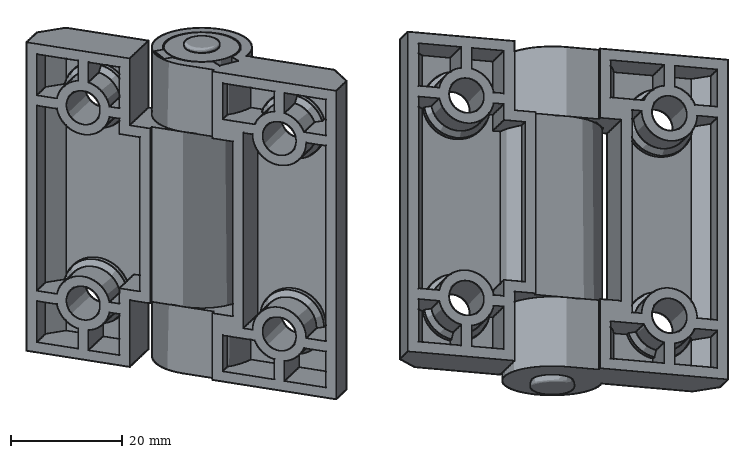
import cadquery as cq
import math


half_span = 30.0
leaf_height = 60.0
leaf_thickness = 9.0
edge_chamfer = 4.0
wall = 2.0
leaf_inner_edge = 10.0
floor_depth = leaf_thickness - wall
half_height = leaf_height / 2

knuckle_radius = 9.0
mount_clearance = 0.8
relief_half_width = 6.0
middle_length = 34.0
axis_y = mount_clearance + knuckle_radius
half_middle = middle_length / 2

boss_spacing_half = 19.0
hole_radius = 3.25
boss_radius = 5.2
boss_flare = 1.0
boss_root = 1.0
rib_thickness = 2.0

plug_bore_radius = 7.0
plug_gap = 0.2
plug_radius = plug_bore_radius - plug_gap
slot_width = 4.0
key_angle = -132.0
key_reach = 8.5
open_slot_angle = -35.0
open_slot_reach = 9.0

pin_tip_height = 1.0
pin_tip_round = pin_tip_height / 2
pin_radius = 2.75
head_height = 1.5
head_radius = 4.0
head_seat_radius = 3.75
head_round = 0.55


def box(x0, x1, y0, y1, z0, z1):
    return cq.Workplane("XY").box(x1 - x0, y1 - y0, z1 - z0, centered=False).translate((x0, y0, z0))


def axis_cylinder(radius, z0, z1):
    """Cylinder on the hinge axis."""
    return cq.Workplane("XY", origin=(0, axis_y, z0)).circle(radius).extrude(z1 - z0)


def leaf_plate(inner_x, z0, z1):
    """Plate from inner_x out to the chamfered outer edge."""
    outline = [
        (inner_x, 0),
        (half_span, 0),
        (half_span, leaf_thickness - edge_chamfer),
        (half_span - edge_chamfer, leaf_thickness),
        (inner_x, leaf_thickness),
    ]
    return cq.Workplane("XY", origin=(0, 0, z0)).polyline(outline).close().extrude(z1 - z0)


def knuckle(z0, z1):
    """Barrel joined to the leaf by an arm that is relieved near the mounting face."""
    arm = box(0, leaf_inner_edge, mount_clearance, leaf_thickness, z0, z1)
    foot = box(relief_half_width, leaf_inner_edge, 0, leaf_thickness, z0, z1)
    return axis_cylinder(knuckle_radius, z0, z1).union(arm).union(foot)


def pocket(inner_x, z0, z1):
    """Pocket space open at y = 0, keeping a wall behind the chamfer and around the barrel."""
    outer_x = half_span - wall
    slope_x = half_span - edge_chamfer + wall - wall * math.sqrt(2)
    slope_y = floor_depth - (outer_x - slope_x)
    outline = [
        (inner_x, 0),
        (outer_x, 0),
        (outer_x, slope_y),
        (slope_x, floor_depth),
        (inner_x, floor_depth),
    ]
    space = cq.Workplane("XY", origin=(0, 0, z0)).polyline(outline).close().extrude(z1 - z0)
    return space.cut(axis_cylinder(knuckle_radius + wall, z0, z1))


def boss(z):
    """Screw boss that flares out to a wide root."""
    outline = [
        (0, 0),
        (boss_radius, 0),
        (boss_radius, floor_depth - boss_root - boss_flare),
        (boss_radius + boss_flare, floor_depth - boss_root),
        (boss_radius + boss_flare, floor_depth),
        (0, floor_depth),
    ]
    solid = cq.Workplane("XY").polyline(outline).close().revolve(360, (0, 0, 0), (0, 1, 0))
    return solid.translate((boss_spacing_half, 0, z))


def screw_hole(z):
    start = cq.Workplane("XZ", origin=(boss_spacing_half, 0, z))
    return start.circle(hole_radius).extrude(-leaf_thickness)


def upright_rib(z_sign):
    """Rib from a boss to the top or bottom rim."""
    z0, z1 = sorted((z_sign * boss_spacing_half, z_sign * half_height))
    x0 = boss_spacing_half - rib_thickness / 2
    return box(x0, x0 + rib_thickness, 0, floor_depth, z0, z1)


def hollowed(blank, pockets):
    """Leaf with its pockets, leaving the bosses and upright ribs, then drilled."""
    for space in pockets:
        for z_sign in (1, -1):
            space = space.cut(boss(z_sign * boss_spacing_half)).cut(upright_rib(z_sign))
        blank = blank.cut(space)
    for z_sign in (1, -1):
        blank = blank.cut(screw_hole(z_sign * boss_spacing_half))
    return blank


def end_pockets(inner_x, start_z):
    """Pockets between start_z and the rim, at the top and at the bottom."""
    rim_z = half_height - wall
    return [pocket(inner_x, start_z, rim_z), pocket(inner_x, -rim_z, -start_z)]


def key_slot(angle, reach):
    """Radial bar through the upper knuckle, starting at the face of the plug."""
    bar = box(0, reach, -slot_width / 2, slot_width / 2, half_middle, half_height)
    bar = bar.rotate((0, 0, 0), (0, 0, 1), angle).translate((0, axis_y, 0))
    return bar.cut(axis_cylinder(plug_radius, half_middle, half_height))


def pin_bore():
    return axis_cylinder(pin_radius, -half_height, half_height)


def make_middle_leaf():
    """Leaf on the -X side with the single middle knuckle; modelled on +X and mirrored."""
    blank = leaf_plate(leaf_inner_edge, -half_height, half_height).union(knuckle(-half_middle, half_middle))
    inner_x = leaf_inner_edge + wall
    inner_rib_z = boss_spacing_half - rib_thickness / 2
    outer_rib_z = boss_spacing_half + rib_thickness / 2
    arm_z = half_middle - wall
    main_pocket = pocket(inner_x, -inner_rib_z, inner_rib_z)
    arm_pocket = pocket(relief_half_width + wall, -arm_z, arm_z)
    leaf = hollowed(blank, [main_pocket.union(arm_pocket)] + end_pockets(inner_x, outer_rib_z))
    return leaf.cut(pin_bore()).mirror("YZ")


def make_outer_leaf():
    """Leaf on the +X side with the two end knuckles; the upper one is bored for the plug."""
    blank = leaf_plate(leaf_inner_edge, -half_height, half_height)
    blank = blank.union(knuckle(half_middle, half_height)).union(knuckle(-half_height, -half_middle))
    main_pocket = pocket(leaf_inner_edge + wall, -boss_spacing_half, boss_spacing_half)
    corner_pockets = end_pockets(relief_half_width + wall, boss_spacing_half + rib_thickness)
    leaf = hollowed(blank, [main_pocket] + corner_pockets)
    leaf = leaf.cut(pin_bore()).cut(axis_cylinder(plug_bore_radius, half_middle, half_height))
    leaf = leaf.cut(key_slot(open_slot_angle, open_slot_reach))
    return leaf.cut(key_slot(key_angle, key_reach))


def make_plug():
    return axis_cylinder(plug_radius, half_middle, half_height).cut(pin_bore())


def make_key():
    """Key filling its slot and bearing on the plug."""
    return key_slot(key_angle, key_reach)


def make_pin():
    """Pin with a bulged head below and a rounded rivet tip above."""
    tip_z = half_height + pin_tip_height
    widest_z = half_height + pin_tip_round
    tip_radius = pin_radius + pin_tip_round
    tip_diagonal = pin_tip_round * math.sqrt(0.5)
    head_z = -half_height - head_height
    round_z = head_z + head_round
    flat_radius = head_radius - head_round
    diagonal = head_round * math.sqrt(0.5)
    profile = (
        cq.Workplane("XZ")
        .moveTo(0, head_z)
        .lineTo(flat_radius, head_z)
        .threePointArc((flat_radius + diagonal, round_z - diagonal), (head_radius, round_z))
        .tangentArcPoint((head_seat_radius, -half_height), relative=False)
        .lineTo(pin_radius, -half_height)
        .lineTo(pin_radius, half_height)
        .threePointArc((pin_radius + tip_diagonal, widest_z - tip_diagonal), (tip_radius, widest_z))
        .threePointArc((pin_radius + tip_diagonal, widest_z + tip_diagonal), (pin_radius, tip_z))
        .lineTo(0, tip_z)
        .close()
    )
    return profile.revolve(360, (0, 0, 0), (0, 1, 0)).translate((0, axis_y, 0))


middle_leaf = make_middle_leaf()
outer_leaf = make_outer_leaf()
plug = make_plug()
key = make_key()
pin = make_pin()

result = cq.Compound.makeCompound(
    [middle_leaf.val(), outer_leaf.val(), plug.val(), key.val(), pin.val()]
)